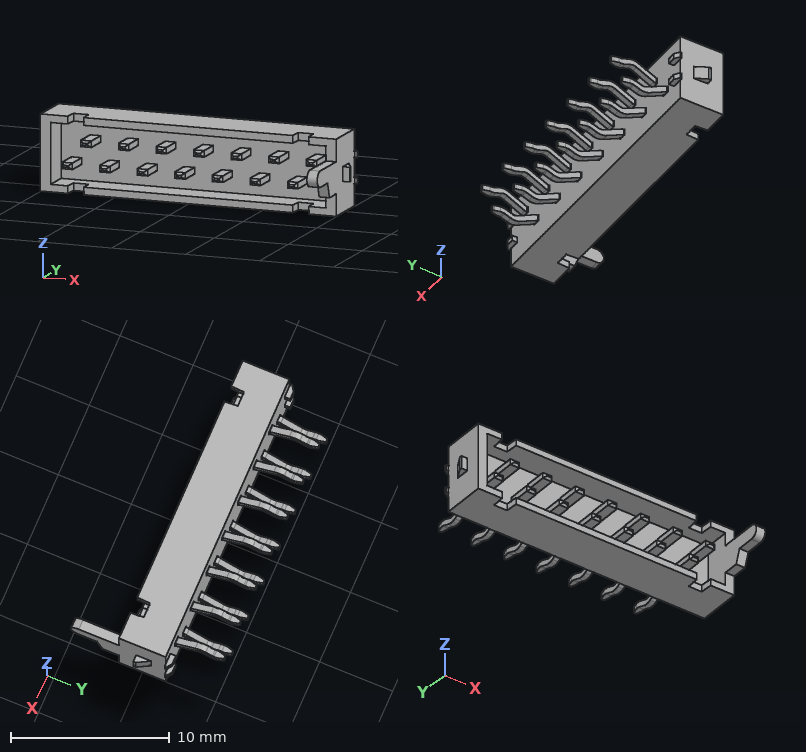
import cadquery as cq
import math


BODY_LENGTH = 20.0
BODY_DEPTH = 3.2
BODY_HEIGHT = 5.0
END_WALL = 0.7
LONG_WALL = 0.5
CAVITY_DEPTH = 1.85
FRONT_Y = -BODY_DEPTH
HALF_LENGTH = BODY_LENGTH / 2

NOTCH_INNER_X = 7.1
NOTCH_WIDTH = 1.0
NOTCH_FLARE = 0.05
NOTCH_DEPTH = 0.9

BARB_REACH = 0.45
BARB_HEIGHT = 0.95
BARB_BACK_Y = -1.0
BARB_FRONT_Y = -2.02
BARB_TIP_LENGTH = 0.18

BLADE_REACH = 3.3
BLADE_HEIGHT = 2.08
NOSE_HEIGHT = 1.07
BLADE_HEEL_REACH = 1.15
BLADE_NECK_REACH = 1.5

CONTACT_COUNT = 14
PITCH = 1.27
CONTACT_ROW_SPACING = 1.53
TAIL_ROW_SPACING = 2.54
THICKNESS = 0.42
CONTACT_WIDTH = 0.7
CONTACT_SETBACK = 0.05
TIP_BEVEL_LENGTH = 0.17
TIP_BEVEL_SIDE = 0.19
TIP_BEVEL_FACE = 0.15
TAIL_WIDTH = 0.46
TAIL_REACH = 3.3
TAIL_TIP_WIDTH = 0.18
TAIL_POINT_WIDTH = 0.26
TAIL_POINT_LENGTH = 0.07
TAIL_TAPER_LENGTH = 0.47
SHOULDER_Y = 0.05

RISE_ANGLE = math.radians(26)
FALL_ANGLE = math.radians(20)
BASE_BEND_RADIUS = 0.3
CREST_RADIUS = 0.7
TIP_BEND_RADIUS = 0.5
BASE_BEND_Y = 0.0
TIP_BEND_END_Y = 2.64

STUB_THICKNESS = 0.4
STUB_Z = 0.845
STUB_REACH = 0.38
STUB_INNER_X = 9.24
STUB_OUTER_X = 10.17
STUB_BEVEL_X = 0.36
STUB_BEVEL_Y = 0.25


def box(x_min, x_max, y_min, y_max, z_min, z_max):
    size = (x_max - x_min, y_max - y_min, z_max - z_min)
    return cq.Workplane("XY").box(*size, centered=False).translate((x_min, y_min, z_min))


def plan_prism(points, height):
    """Extrude an XY outline to the given height, centred on Z = 0."""
    return cq.Workplane("XY").polyline(points).close().extrude(height / 2, both=True)


def mirror_x(shape):
    return shape.mirror("YZ")


def mirror_z(shape):
    return shape.mirror("XY")


def make_housing():
    housing = box(-HALF_LENGTH, HALF_LENGTH, FRONT_Y, 0, -BODY_HEIGHT / 2, BODY_HEIGHT / 2)
    cavity_x = HALF_LENGTH - END_WALL
    cavity_z = BODY_HEIGHT / 2 - LONG_WALL
    housing = housing.cut(box(-cavity_x, cavity_x, FRONT_Y, FRONT_Y + CAVITY_DEPTH, -cavity_z, cavity_z))

    notch_outer_x = NOTCH_INNER_X + NOTCH_WIDTH
    notch = plan_prism(
        [
            (NOTCH_INNER_X - NOTCH_FLARE, FRONT_Y),
            (NOTCH_INNER_X, FRONT_Y + NOTCH_DEPTH),
            (notch_outer_x, FRONT_Y + NOTCH_DEPTH),
            (notch_outer_x + NOTCH_FLARE, FRONT_Y),
        ],
        BODY_HEIGHT,
    )
    return housing.cut(notch).cut(mirror_x(notch))


def make_barb():
    """Ramp on the +X end wall, square towards the front."""
    tip_x = HALF_LENGTH + BARB_REACH
    return plan_prism(
        [
            (HALF_LENGTH - END_WALL, BARB_BACK_Y),
            (HALF_LENGTH, BARB_BACK_Y),
            (tip_x, BARB_FRONT_Y + BARB_TIP_LENGTH),
            (tip_x, BARB_FRONT_Y),
            (HALF_LENGTH - END_WALL, BARB_FRONT_Y),
        ],
        BARB_HEIGHT,
    )


def make_blade():
    """Stepped blade with a full-round nose, as thick as the end wall."""
    top_z = BLADE_HEIGHT / 2
    nose_radius = NOSE_HEIGHT / 2
    nose_tip_y = FRONT_Y - BLADE_REACH
    nose_start_y = nose_tip_y + nose_radius
    neck_z = top_z - NOSE_HEIGHT
    return (
        cq.Workplane("YZ", origin=(HALF_LENGTH - END_WALL, 0, 0))
        .moveTo(FRONT_Y, top_z)
        .lineTo(nose_start_y, top_z)
        .threePointArc((nose_tip_y, top_z - nose_radius), (nose_start_y, neck_z))
        .lineTo(FRONT_Y - BLADE_NECK_REACH, neck_z)
        .lineTo(FRONT_Y - BLADE_HEEL_REACH, -top_z)
        .lineTo(FRONT_Y, -top_z)
        .close()
        .extrude(END_WALL)
    )


def offset_point(center, radius, angle):
    return (center[0] + radius * math.sin(angle), center[1] + radius * math.cos(angle))


def make_strip_profile():
    """Side profile of an upper contact, extruded over the contact width."""
    half = THICKNESS / 2
    contact_z = CONTACT_ROW_SPACING / 2
    tail_z = TAIL_ROW_SPACING / 2
    tip_y = FRONT_Y + CONTACT_SETBACK

    base_center = (BASE_BEND_Y, contact_z + BASE_BEND_RADIUS)
    tip_center = (TIP_BEND_END_Y, tail_z + TIP_BEND_RADIUS)
    run = tip_center[0] - base_center[0]
    rise = tip_center[1] - base_center[1]
    base_gap = (BASE_BEND_RADIUS + CREST_RADIUS) / math.cos(RISE_ANGLE)
    tip_gap = (TIP_BEND_RADIUS + CREST_RADIUS) / math.cos(FALL_ANGLE)
    rise_slope = math.tan(RISE_ANGLE)
    fall_slope = math.tan(FALL_ANGLE)
    crest_run = (rise + run * fall_slope - tip_gap + base_gap) / (rise_slope + fall_slope)
    crest_center = (base_center[0] + crest_run, base_center[1] + rise_slope * crest_run - base_gap)

    base_top = BASE_BEND_RADIUS - half
    base_bottom = BASE_BEND_RADIUS + half
    crest_top = CREST_RADIUS + half
    crest_bottom = CREST_RADIUS - half
    tip_top = TIP_BEND_RADIUS - half
    tip_bottom = TIP_BEND_RADIUS + half
    bevel_z = half - TIP_BEVEL_FACE
    bevel_y = tip_y + TIP_BEVEL_LENGTH

    return (
        cq.Workplane("YZ")
        .moveTo(tip_y, contact_z - bevel_z)
        .lineTo(tip_y, contact_z + bevel_z)
        .lineTo(bevel_y, contact_z + half)
        .lineTo(*offset_point(base_center, -base_top, 0))
        .threePointArc(
            offset_point(base_center, -base_top, -RISE_ANGLE / 2),
            offset_point(base_center, -base_top, -RISE_ANGLE),
        )
        .lineTo(*offset_point(crest_center, crest_top, -RISE_ANGLE))
        .threePointArc(
            offset_point(crest_center, crest_top, 0),
            offset_point(crest_center, crest_top, FALL_ANGLE),
        )
        .lineTo(*offset_point(tip_center, -tip_top, FALL_ANGLE))
        .threePointArc(
            offset_point(tip_center, -tip_top, FALL_ANGLE / 2),
            offset_point(tip_center, -tip_top, 0),
        )
        .lineTo(TAIL_REACH, tail_z + half)
        .lineTo(TAIL_REACH, tail_z - half)
        .lineTo(*offset_point(tip_center, -tip_bottom, 0))
        .threePointArc(
            offset_point(tip_center, -tip_bottom, FALL_ANGLE / 2),
            offset_point(tip_center, -tip_bottom, FALL_ANGLE),
        )
        .lineTo(*offset_point(crest_center, crest_bottom, FALL_ANGLE))
        .threePointArc(
            offset_point(crest_center, crest_bottom, 0),
            offset_point(crest_center, crest_bottom, -RISE_ANGLE),
        )
        .lineTo(*offset_point(base_center, -base_bottom, -RISE_ANGLE))
        .threePointArc(
            offset_point(base_center, -base_bottom, -RISE_ANGLE / 2),
            offset_point(base_center, -base_bottom, 0),
        )
        .lineTo(bevel_y, contact_z - half)
        .close()
        .extrude(CONTACT_WIDTH / 2, both=True)
    )


def make_contact(strip):
    """Contact of the upper row at X = 0: the bent strip trimmed to its plan outline."""
    tip_y = FRONT_Y + CONTACT_SETBACK
    half_width = CONTACT_WIDTH / 2
    half_tail = TAIL_WIDTH / 2
    right_side = [
        (half_width - TIP_BEVEL_SIDE, tip_y),
        (half_width, tip_y + TIP_BEVEL_LENGTH),
        (half_width, SHOULDER_Y - (half_width - half_tail)),
        (half_tail, SHOULDER_Y),
        (half_tail, TAIL_REACH - TAIL_TAPER_LENGTH),
        (TAIL_POINT_WIDTH / 2, TAIL_REACH - TAIL_POINT_LENGTH),
        (TAIL_TIP_WIDTH / 2, TAIL_REACH),
    ]
    left_side = [(-x, y) for x, y in reversed(right_side)]
    return strip.intersect(plan_prism(right_side + left_side, BODY_HEIGHT))


def make_stub():
    """Flat leaf behind the +X end of the upper row, rooted in the housing end wall."""
    root_y = -STUB_REACH
    outline = [
        (STUB_INNER_X, root_y),
        (STUB_INNER_X, STUB_REACH),
        (STUB_OUTER_X - STUB_BEVEL_X, STUB_REACH),
        (STUB_OUTER_X, STUB_REACH - STUB_BEVEL_Y),
        (STUB_OUTER_X, 0),
        (HALF_LENGTH, 0),
        (HALF_LENGTH, root_y),
    ]
    return plan_prism(outline, STUB_THICKNESS).translate((0, 0, STUB_Z))


def make_connector():
    barb = make_barb()
    part = make_housing().union(barb).union(mirror_x(barb)).union(make_blade())

    strip = make_strip_profile()
    stub = make_stub()
    for upper_stub in (stub, mirror_x(stub)):
        part = part.union(upper_stub).union(mirror_z(upper_stub))

    upper_contact = make_contact(strip)
    lower_contact = mirror_z(upper_contact)
    first_x = -PITCH * (CONTACT_COUNT - 1) / 2
    for index in range(CONTACT_COUNT):
        contact = lower_contact if index % 2 == 0 else upper_contact
        part = part.union(contact.translate((first_x + index * PITCH, 0, 0)))
    return part


result = make_connector()